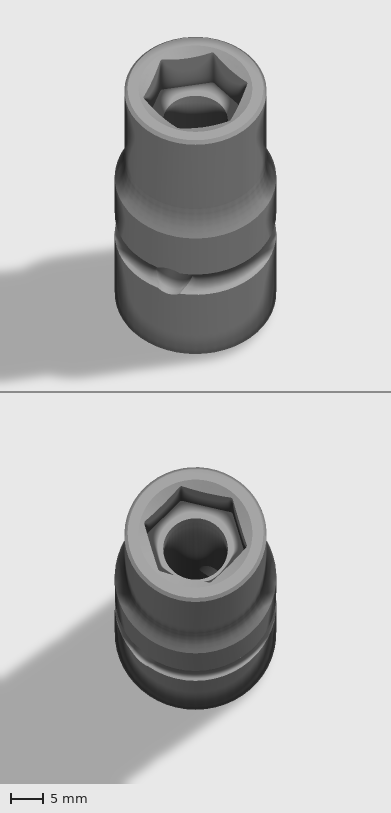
import cadquery as cq
import math

height = 50.0
body_radius = 12.5
nose_radius = 11.0
base_chamfer_width = 1.5
base_chamfer_height = 1.6
top_chamfer = 0.5
shoulder_z = 29.0
nose_z = 34.25

groove_z = 18.05
groove_half_width = 2.4
groove_depth = 2.15
pin_hole_diameter = 6.0

hex_across_flats = 14.25
hex_depth = 7.5
hex_corner_radius = 0.5
lead_in_radius = 8.8
lead_in_angle = 30.0
bore_diameter = 10.0


def make_body():
    """Revolved outside shape with a concave flare between nose and body."""
    step = body_radius - nose_radius
    flare_height = nose_z - shoulder_z
    flare_radius = (step**2 + flare_height**2) / (2 * step)
    half_angle = math.asin(flare_height / flare_radius) / 2
    flare_mid = (
        nose_radius + flare_radius * (1 - math.cos(half_angle)),
        nose_z - flare_radius * math.sin(half_angle),
    )
    profile = (
        cq.Workplane("XZ")
        .lineTo(body_radius - base_chamfer_width, 0)
        .lineTo(body_radius, base_chamfer_height)
        .lineTo(body_radius, groove_z - groove_half_width)
        .threePointArc(
            (body_radius - groove_depth, groove_z),
            (body_radius, groove_z + groove_half_width),
        )
        .lineTo(body_radius, shoulder_z)
        .threePointArc(flare_mid, (nose_radius, nose_z))
        .lineTo(nose_radius, height - top_chamfer)
        .lineTo(nose_radius - top_chamfer, height)
        .lineTo(0, height)
        .close()
    )
    return profile.revolve(360, (0, 0, 0), (0, 1, 0))


def make_hex_socket():
    """Round-cornered hexagonal pocket from the top, with flats facing +X and -X."""
    across_corners = hex_across_flats / math.cos(math.radians(30))
    return (
        cq.Workplane("XY", origin=(0, 0, height - hex_depth))
        .polygon(6, across_corners)
        .extrude(hex_depth)
        .rotate((0, 0, 0), (0, 0, 1), 30)
        .edges("|Z")
        .fillet(hex_corner_radius)
    )


def make_lead_in():
    """Conical countersink at the mouth of the hexagon."""
    cone_height = lead_in_radius * math.tan(math.radians(lead_in_angle))
    cone = cq.Solid.makeCone(0, lead_in_radius, cone_height, cq.Vector(0, 0, height - cone_height))
    return cq.Workplane(cone)


def make_bore():
    """Round bore through the full height."""
    return cq.Workplane("XY").circle(bore_diameter / 2).extrude(height)


def make_pin_hole():
    """Cross hole along Y, through both walls at the groove."""
    return (
        cq.Workplane("XZ", origin=(0, 0, groove_z))
        .circle(pin_hole_diameter / 2)
        .extrude(body_radius, both=True)
    )


result = make_body()
for cutter in (make_hex_socket(), make_lead_in(), make_bore(), make_pin_hole()):
    result = result.cut(cutter)